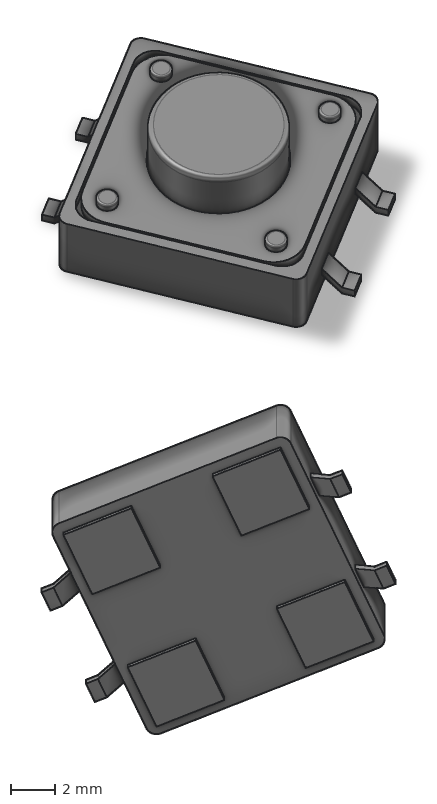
import cadquery as cq
import math

body_x = 11.69
body_y = 11.5
body_bottom = 0.25
body_top = 3.6
body_corner_radius = 0.5

recess_x = 10.73
recess_y = 10.5
recess_corner_radius = 1.0
recess_depth = 0.5
cover_gap = 0.1
cover_corner_radius = 1.5

button_diameter = 6.4
button_hole_diameter = 6.5
button_top = 6.0
button_fillet = 0.25

rivet_diameter = 1.0
rivet_top = 4.0
rivet_fillet = 0.1
rivet_spacing = 7.99

foot_inner = 2.0

lead_span = 14.8
lead_width = 1.0
lead_spacing = 5.0
lead_thickness = 0.41
lead_flat_length = 0.59
lead_slope = math.radians(45)
lead_root_inset = 0.15


def rounded_block(size_x, size_y, radius, bottom, top):
    """Centred block with rounded vertical edges."""
    block = cq.Workplane("XY").workplane(offset=bottom).rect(size_x, size_y).extrude(top - bottom)
    return block.edges("|Z").fillet(radius)


def cylinder(diameter, bottom, top):
    """Upright cylinder on the Z axis."""
    return cq.Workplane("XY").workplane(offset=bottom).circle(diameter / 2).extrude(top - bottom)


def make_housing():
    recess_floor = body_top - recess_depth
    housing = rounded_block(body_x, body_y, body_corner_radius, body_bottom, body_top)
    recess = rounded_block(recess_x, recess_y, recess_corner_radius, recess_floor, body_top)
    cover = rounded_block(
        recess_x - 2 * cover_gap,
        recess_y - 2 * cover_gap,
        cover_corner_radius,
        recess_floor,
        body_top,
    )
    button_hole = cylinder(button_hole_diameter, recess_floor, body_top)
    return housing.cut(recess).union(cover.cut(button_hole))


def make_button():
    button = cylinder(button_diameter, body_top - recess_depth, button_top)
    return button.faces(">Z").edges().fillet(button_fillet)


def make_rivet():
    rivet = cylinder(rivet_diameter, body_top - recess_depth, rivet_top)
    return rivet.faces(">Z").edges().fillet(rivet_fillet)


def make_foot(side_x, side_y):
    """Thin pad reaching from the corner rounding toward the middle of the housing."""
    length_x = body_x / 2 - body_corner_radius - foot_inner
    length_y = body_y / 2 - body_corner_radius - foot_inner
    center_x = side_x * (foot_inner + length_x / 2)
    center_y = side_y * (foot_inner + length_y / 2)
    return cq.Workplane("XY").center(center_x, center_y).rect(length_x, length_y).extrude(body_bottom)


def make_lead():
    """Lead on the +X side: a flat tip, then a slope rising into the housing."""
    tip = lead_span / 2
    bend = tip - lead_flat_length
    root = body_x / 2 - lead_root_inset
    rise = (bend - root) * math.tan(lead_slope)
    outline = [
        (tip, 0),
        (bend, 0),
        (root, rise),
        (root, rise + lead_thickness),
        (bend, lead_thickness),
        (tip, lead_thickness),
    ]
    return cq.Workplane("XZ").polyline(outline).close().extrude(lead_width / 2, both=True)


result = make_housing().union(make_button())
for side_x in (-1, 1):
    for side_y in (-1, 1):
        rivet = make_rivet().translate((side_x * rivet_spacing / 2, side_y * rivet_spacing / 2, 0))
        lead = make_lead()
        if side_x < 0:
            lead = lead.mirror("YZ")
        lead = lead.translate((0, side_y * lead_spacing / 2, 0))
        result = result.union(rivet).union(make_foot(side_x, side_y)).union(lead)